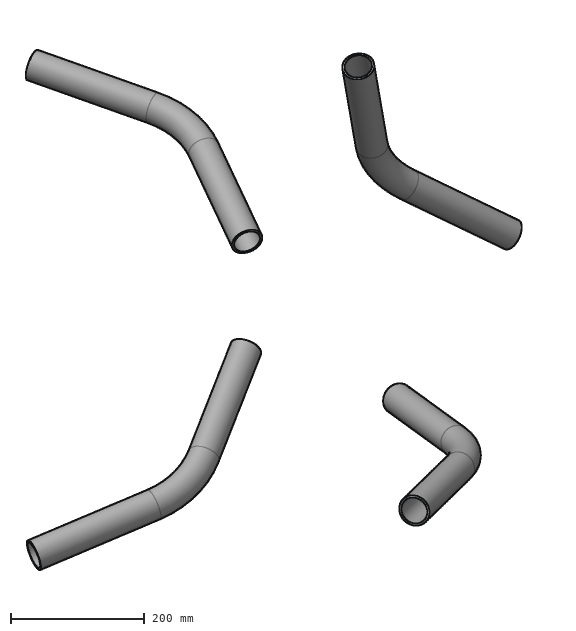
import cadquery as cq
import math

outer_diameter = 48.3
wall_thickness = 3.68
leg_length = 200.0
bend_radius = 150.0
bend_angle = 45.0

inner_diameter = outer_diameter - 2 * wall_thickness


def bend_point(angle):
    """Centreline point of the bend, turned by angle (degrees) from its +X end."""
    turn = math.radians(angle)
    return (-bend_radius * math.sin(turn), bend_radius * (math.cos(turn) - 1))


def centreline():
    """Path in the XY plane from the +X end, around the bend, to the lower end."""
    bend_end_x, bend_end_y = bend_point(bend_angle)
    leg_direction = math.radians(bend_angle)
    lower_end = (
        bend_end_x - leg_length * math.cos(leg_direction),
        bend_end_y - leg_length * math.sin(leg_direction),
    )
    return (
        cq.Workplane("XY")
        .moveTo(leg_length, 0)
        .lineTo(0, 0)
        .threePointArc(bend_point(bend_angle / 2), (bend_end_x, bend_end_y))
        .lineTo(*lower_end)
    )


def bent_pipe():
    """Ring section at the +X end, swept along the centreline."""
    return (
        cq.Workplane("YZ", origin=(leg_length, 0, 0))
        .circle(outer_diameter / 2)
        .circle(inner_diameter / 2)
        .sweep(centreline())
    )


result = bent_pipe()